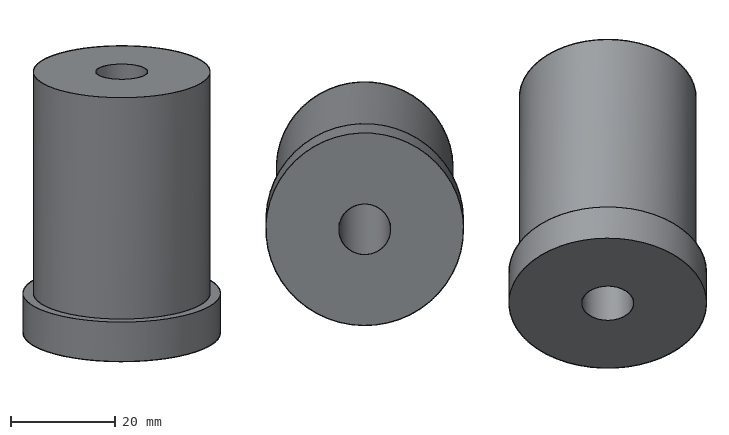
import cadquery as cq

total_height = 52.5
flange_diameter = 38.0
flange_height = 8.0
body_diameter = 34.0
bore_diameter = 10.0

flange = cq.Workplane("XY").circle(flange_diameter / 2).extrude(flange_height)

body = cq.Workplane("XY").circle(body_diameter / 2).extrude(total_height)

bore = cq.Workplane("XY").circle(bore_diameter / 2).extrude(total_height)

result = flange.union(body).cut(bore)